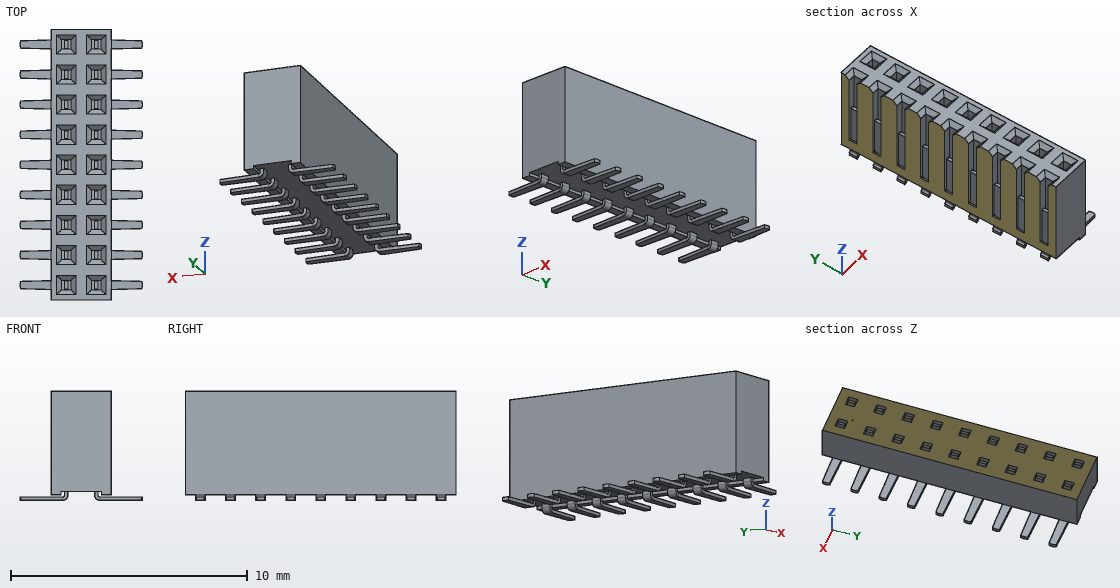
import cadquery as cq
import math


POSITIONS = 9
BODY_LENGTH = 11.43
PITCH = BODY_LENGTH / POSITIONS
ROW_X = PITCH / 2

BODY_WIDTH = 2 * PITCH
BODY_TOP = 4.62
BODY_BOTTOM = 0.24
RAIL_WIDTH = 0.42
CHANNEL_ROOF = 0.38

MOUTH_SIZE = 0.81
THROAT_SIZE = 0.4
FUNNEL_DEPTH = (MOUTH_SIZE - THROAT_SIZE) / 2
SOCKET_FLOOR = 0.91

BLADE_WIDTH = 0.33
BLADE_TOP = 2.74

LEAD_SPAN = 5.18
LEAD_THICKNESS = 0.15
BEND_RADIUS = 0.23
INNER_BEND_RADIUS = BEND_RADIUS - LEAD_THICKNESS
ROOT_WIDTH = 0.41
TIP_WIDTH = 0.32
TIP_BULGE = 0.03

TIP_X = LEAD_SPAN / 2
STEM_INNER_X = ROW_X - LEAD_THICKNESS / 2
STEM_OUTER_X = ROW_X + LEAD_THICKNESS / 2
ROOT_X = STEM_INNER_X + BEND_RADIUS


def bend_midpoint(radius):
    """Middle of a quarter arc about the bend centre, on its lower -X side."""
    offset = radius * math.sqrt(0.5)
    return (ROOT_X - offset, BEND_RADIUS - offset)


def make_housing():
    """Rectangular block with a full-length channel that leaves a rail along each side."""
    block = cq.Workplane("XY").workplane(offset=BODY_BOTTOM).rect(BODY_WIDTH, BODY_LENGTH)
    block = block.extrude(BODY_TOP - BODY_BOTTOM)
    channel = cq.Workplane("XY").rect(BODY_WIDTH - 2 * RAIL_WIDTH, BODY_LENGTH).extrude(CHANNEL_ROOF)
    return block.cut(channel)


def make_socket():
    """Square hole with a funnel mouth, less the contact blade standing in it."""
    funnel = (
        cq.Workplane("XY")
        .workplane(offset=BODY_TOP - FUNNEL_DEPTH)
        .rect(THROAT_SIZE, THROAT_SIZE)
        .workplane(offset=FUNNEL_DEPTH)
        .rect(MOUTH_SIZE, MOUTH_SIZE)
        .loft(ruled=True)
    )
    throat = cq.Workplane("XY").workplane(offset=SOCKET_FLOOR).rect(THROAT_SIZE, THROAT_SIZE)
    throat = throat.extrude(BODY_TOP - FUNNEL_DEPTH - SOCKET_FLOOR)
    blade = cq.Workplane("XY").workplane(offset=SOCKET_FLOOR).rect(LEAD_THICKNESS, BLADE_WIDTH)
    blade = blade.extrude(BLADE_TOP - SOCKET_FLOOR)
    return funnel.union(throat).cut(blade).translate((ROW_X, 0, 0))


def make_lead():
    """Stem below the socket, bent outward into a foot that tapers to a rounded tip."""
    profile = (
        cq.Workplane("XZ")
        .moveTo(STEM_INNER_X, SOCKET_FLOOR)
        .lineTo(STEM_INNER_X, BEND_RADIUS)
        .threePointArc(bend_midpoint(BEND_RADIUS), (ROOT_X, 0))
        .lineTo(TIP_X, 0)
        .lineTo(TIP_X, LEAD_THICKNESS)
        .lineTo(ROOT_X, LEAD_THICKNESS)
        .threePointArc(bend_midpoint(INNER_BEND_RADIUS), (STEM_OUTER_X, BEND_RADIUS))
        .lineTo(STEM_OUTER_X, SOCKET_FLOOR)
        .close()
        .extrude(ROOT_WIDTH / 2, both=True)
    )
    outline = (
        cq.Workplane("XY")
        .moveTo(STEM_INNER_X, -ROOT_WIDTH / 2)
        .lineTo(ROOT_X, -ROOT_WIDTH / 2)
        .lineTo(TIP_X - TIP_BULGE, -TIP_WIDTH / 2)
        .threePointArc((TIP_X, 0), (TIP_X - TIP_BULGE, TIP_WIDTH / 2))
        .lineTo(ROOT_X, ROOT_WIDTH / 2)
        .lineTo(STEM_INNER_X, ROOT_WIDTH / 2)
        .close()
        .extrude(SOCKET_FLOOR)
    )
    return profile.intersect(outline)


def place_in_grid(shape):
    """Copies of a +X row shape at every position of both rows."""
    first_y = -(POSITIONS - 1) / 2 * PITCH
    copies = []
    for row_shape in (shape, shape.mirror("YZ")):
        for index in range(POSITIONS):
            copies.append(row_shape.translate((0, first_y + index * PITCH, 0)).val())
    return copies


housing = make_housing().val().cut(*place_in_grid(make_socket()))
result = cq.Workplane("XY").newObject([housing.fuse(*place_in_grid(make_lead()))])